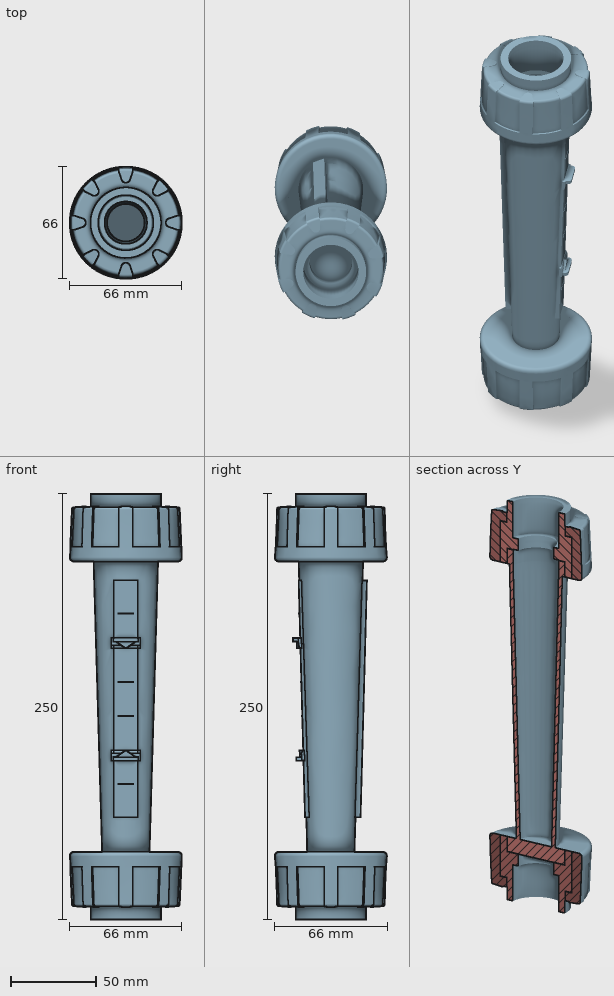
import cadquery as cq
import math

total_length = 250.0
middle = total_length / 2

nut_radius = 33.0
nut_height = 32.0
nut_setback = 7.8
nut_lip = 6.2
nut_inner_fillet = 2.5
band_height = 8.8
panel_base_radius = 31.8
panel_end_radius = 30.8
panel_fillet = 1.5

rib_count = 8
rib_width = 8.0
rib_end_radius = 31.8
rib_edge_fillet = 1.5
rib_tip_radius = 23.5
rib_tip_width = 5.2
rib_shoulder_radius = 25.8
rib_flank_radius = 29.8
crown_rise = 0.8

connector_radius = 20.8
connector_length = 30.0
skirt_radius = 25.2
socket_radius = 16.2
socket_depth = 22.5
port_radius = 12.5

tube_top_radius = 19.0
tube_bottom_radius = 14.0
wall = 3.0

rail_bottom = 60.0
rail_top = 199.2
rail_width = 14.2
rail_bottom_reach = 15.2
rail_top_reach = 19.0
fin_width = 7.0
fin_bottom_reach = 17.5
fin_top_reach = 21.2

tick_pitch = 20.0
tick_length = 9.0
tick_thickness = 0.2
tick_height = 0.2
tick_steps = (-2.5, -0.5, 0.5, 2.5)

pointer_width = 17.2
pointer_height = 6.2
pointer_plate = 1.0
pointer_wrap = 0.8
pointer_bevel_height = 1.88
pointer_bevel_depth = 0.8
ridge_height = 2.12
ridge_width = 11.5
handle_width = 14.5
handle_reach = 4.2
handle_thickness = 2.2
handle_corner = 2.0
upper_pointer_rear = 165.5
lower_pointer_rear = 93.2

nut_outer_z = total_length - nut_setback
nut_inner_z = nut_outer_z - nut_height
ledge_z = nut_inner_z + band_height
recess_radius = 1.1 * nut_radius
lip_z = nut_outer_z - nut_lip
tube_top = total_length - connector_length
tube_bottom = connector_length
cone_top = nut_inner_z
cone_bottom = total_length - nut_inner_z
rail_middle = (rail_bottom + rail_top) / 2
rail_slope = (rail_top_reach - rail_bottom_reach) / (rail_top - rail_bottom)
rail_lean = math.degrees(math.atan(rail_slope))


def mirror_to_bottom(body):
    """Copy a body from the top end to the bottom end."""
    return body.mirror("XY", (0, 0, middle))


def nut_blank():
    """Turned nut with the full outline of the ribs all the way round."""
    profile = (
        cq.Workplane("XZ")
        .moveTo(skirt_radius, nut_inner_z)
        .lineTo(nut_radius - nut_inner_fillet, nut_inner_z)
        .radiusArc((nut_radius, nut_inner_z + nut_inner_fillet), -nut_inner_fillet)
        .lineTo(rib_end_radius, nut_outer_z - rib_edge_fillet)
        .radiusArc((rib_end_radius - rib_edge_fillet, nut_outer_z), -rib_edge_fillet)
        .lineTo(connector_radius, nut_outer_z + crown_rise)
        .lineTo(connector_radius, lip_z)
        .lineTo(skirt_radius, lip_z)
        .close()
    )
    return profile.revolve(360, (0, 0, 0), (0, 1, 0))


def recess_ring():
    """Everything outside the panel walls and above the nut face, from the socket outward."""
    profile = (
        cq.Workplane("XZ")
        .moveTo(recess_radius, ledge_z)
        .lineTo(panel_base_radius, ledge_z)
        .lineTo(panel_end_radius, nut_outer_z - panel_fillet)
        .radiusArc((panel_end_radius - panel_fillet, nut_outer_z), -panel_fillet)
        .lineTo(socket_radius, nut_outer_z)
        .lineTo(socket_radius, total_length)
        .lineTo(recess_radius, total_length)
        .close()
    )
    return profile.revolve(360, (0, 0, 0), (0, 1, 0))


def rib_plan():
    """Plan shape of one rib along +X, as a tall block with a rounded tip."""
    outer_end = 2 * nut_radius
    return (
        cq.Workplane("XY")
        .moveTo(outer_end, -rib_width / 2)
        .lineTo(rib_flank_radius, -rib_width / 2)
        .lineTo(rib_shoulder_radius, -rib_tip_width / 2)
        .threePointArc((rib_tip_radius, 0), (rib_shoulder_radius, rib_tip_width / 2))
        .lineTo(rib_flank_radius, rib_width / 2)
        .lineTo(outer_end, rib_width / 2)
        .close()
        .extrude(2 * total_length)
    )


def make_nut():
    recess = recess_ring()
    rib = rib_plan()
    for i in range(rib_count):
        recess = recess.cut(rib.rotate((0, 0, 0), (0, 0, 1), i * 360 / rib_count))
    return nut_blank().cut(recess)


def make_connector():
    profile = cq.Workplane("XZ").polyline([
        (port_radius, tube_top),
        (connector_radius, tube_top),
        (connector_radius, nut_inner_z),
        (skirt_radius, nut_inner_z),
        (skirt_radius, lip_z),
        (connector_radius, lip_z),
        (connector_radius, total_length),
        (socket_radius, total_length),
        (socket_radius, total_length - socket_depth),
        (port_radius, total_length - socket_depth),
    ]).close()
    return profile.revolve(360, (0, 0, 0), (0, 1, 0))


def upright_strip(width, bottom_reach, top_reach):
    """Strip from the tube axis out to a leaning face on the -Y side."""
    return (
        cq.Workplane("YZ", origin=(-width / 2, 0, 0))
        .polyline([
            (0, rail_bottom),
            (-bottom_reach, rail_bottom),
            (-top_reach, rail_top),
            (0, rail_top),
        ])
        .close()
        .extrude(width)
    )


def tick(z):
    reach = rail_bottom_reach + (z - rail_bottom) * rail_slope + tick_height
    return cq.Workplane("XY").box(
        tick_length, reach, tick_thickness, centered=(True, False, True)
    ).translate((0, -reach, z))


def make_tube():
    outside = (
        cq.Workplane("XZ")
        .polyline([
            (0, tube_bottom),
            (connector_radius, tube_bottom),
            (connector_radius, cone_bottom),
            (tube_bottom_radius, cone_bottom),
            (tube_top_radius, cone_top),
            (connector_radius, cone_top),
            (connector_radius, tube_top),
            (0, tube_top),
        ])
        .close()
        .revolve(360, (0, 0, 0), (0, 1, 0))
    )
    rail = upright_strip(rail_width, rail_bottom_reach, rail_top_reach)
    fin = upright_strip(fin_width, fin_bottom_reach, fin_top_reach).rotate((0, 0, 0), (0, 0, 1), 180)
    tube = outside.union(rail).union(fin)
    for step in tick_steps:
        tube = tube.union(tick(rail_middle + step * tick_pitch))
    bore = (
        cq.Workplane("XZ")
        .polyline([
            (0, cone_bottom),
            (tube_bottom_radius - wall, cone_bottom),
            (tube_top_radius - wall, cone_top),
            (tube_top_radius - wall, tube_top),
            (0, tube_top),
        ])
        .close()
        .revolve(360, (0, 0, 0), (0, 1, 0))
    )
    return tube.cut(bore)


def pointer_shape():
    """Pointer with its rear edge at Z = 0, its arrow downward and its seat on Y = 0."""
    plate = (
        cq.Workplane("YZ", origin=(-pointer_width / 2, 0, 0))
        .polyline([
            (pointer_wrap, 0),
            (-pointer_plate, 0),
            (-pointer_plate, -pointer_height + pointer_bevel_height),
            (-pointer_plate + pointer_bevel_depth, -pointer_height),
            (pointer_wrap, -pointer_height),
        ])
        .close()
        .extrude(pointer_width)
    )
    rail_groove = cq.Workplane("XY").box(
        rail_width, pointer_wrap, pointer_height, centered=(True, False, False)
    ).translate((0, 0, -pointer_height))
    arrow = (
        cq.Workplane("XZ")
        .polyline([
            (-ridge_width / 2, -handle_thickness),
            (ridge_width / 2, -handle_thickness),
            (0, -pointer_height),
        ])
        .close()
        .extrude(ridge_height)
    )
    handle = (
        cq.Workplane("XY")
        .box(handle_width, handle_reach, handle_thickness, centered=(True, False, False))
        .translate((0, -handle_reach, -handle_thickness))
        .edges("|Z and <Y")
        .fillet(handle_corner)
    )
    return plate.cut(rail_groove).union(arrow).union(handle)


def make_pointer(rear_z, points_up):
    """Place a pointer on the leaning rail face."""
    pointer = pointer_shape()
    if points_up:
        pointer = pointer.mirror("XY")
    reach = rail_bottom_reach + (rear_z - rail_bottom) * rail_slope
    return pointer.rotate((0, 0, 0), (1, 0, 0), rail_lean).translate((0, -reach, rear_z))


tube = make_tube()
upper_nut = make_nut()
upper_connector = make_connector()
nuts = [upper_nut, mirror_to_bottom(upper_nut)]
connectors = [upper_connector, mirror_to_bottom(upper_connector)]
pointers = [make_pointer(upper_pointer_rear, False), make_pointer(lower_pointer_rear, True)]

bodies = [tube, *nuts, *connectors, *pointers]
result = cq.Compound.makeCompound([body.solids().val() for body in bodies])